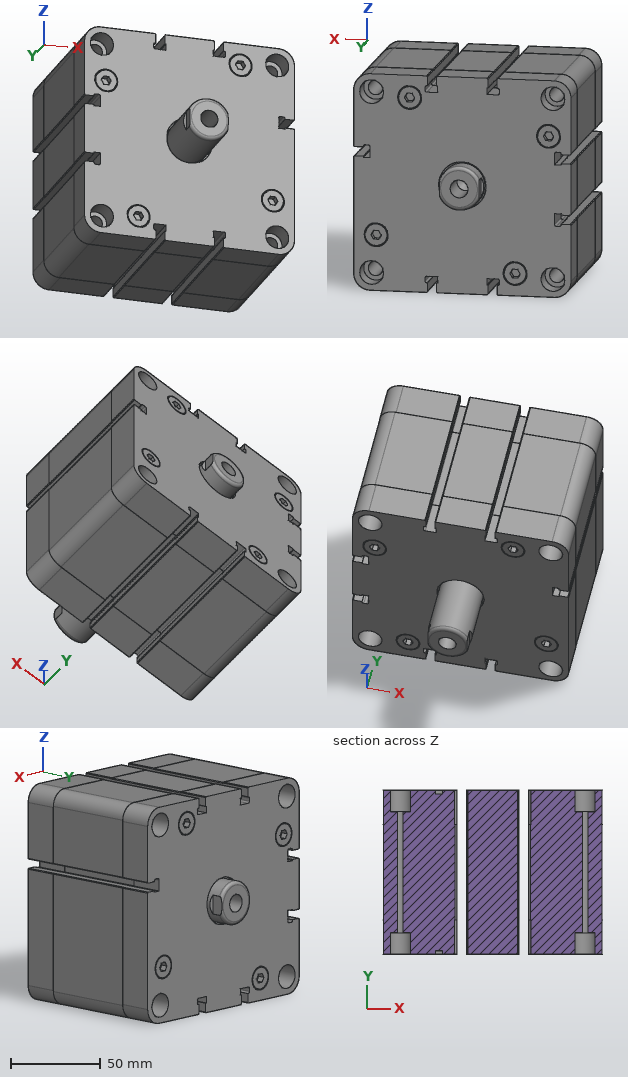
import cadquery as cq
import math

BODY_LENGTH = 92.0
CAP_LENGTH = 19.3
CAP_WIDTH = 124.0
CAP_CORNER_RADIUS = 9.5
TUBE_WIDTH = 123.6
TUBE_CORNER_RADIUS = 8.7

SLOT_OFFSET = 17.3
SLOT_NECK_WIDTH = 5.2
SLOT_NECK_DEPTH = 5.6
SLOT_DEPTH = 9.3
SLOT_OUTER_UNDERCUT = 1.3
SLOT_INNER_UNDERCUT = 0.7
SLOT_CORNER_RADIUS = 1.0
SLOT_MOUTH_CHAMFER = 0.5

MOUNT_SPACING = 103.5
MOUNT_HOLE_DIAMETER = 8.38
MOUNT_BORE_DIAMETER = 13.5
MOUNT_BORE_DEPTH = 12.0

SCREW_X = 49.2
SCREW_Z = 30.1
SCREW_BORE_DIAMETER = 13.5
SCREW_HEAD_DIAMETER = 12.5
SCREW_GAP_DEPTH = 2.0
SOCKET_ACROSS_FLATS = 5.0
SOCKET_DEPTH = 4.0

ROD_DIAMETER = 25.0
ROD_FRONT_LENGTH = 35.0
ROD_REAR_LENGTH = 9.5
ROD_END_RADIUS = 2.0
ROD_ACROSS_FLATS = 22.5
FLAT_LENGTH = 7.0
ROD_BORE_DIAMETER = 10.11
ROD_BORE_DEPTH = 20.0
DRILL_POINT_ANGLE = 118.0
ROD_RECESS_DIAMETER = 27.0
ROD_RECESS_DEPTH = 2.0

HALF_LENGTH = BODY_LENGTH / 2
TUBE_LENGTH = BODY_LENGTH - 2 * CAP_LENGTH
HALF_MOUNT = MOUNT_SPACING / 2
MOUNT_PLACES = [(x, z) for x in (-HALF_MOUNT, HALF_MOUNT) for z in (-HALF_MOUNT, HALF_MOUNT)]
SCREW_PLACES = [(SCREW_X, -SCREW_Z), (SCREW_Z, SCREW_X), (-SCREW_X, SCREW_Z), (-SCREW_Z, -SCREW_X)]


def cylinder(diameter, start_y, length, x=0.0, z=0.0):
    """Cylinder along +Y from start_y."""
    axis_start = cq.Vector(x, start_y, z)
    return cq.Workplane(obj=cq.Solid.makeCylinder(diameter / 2, length, axis_start, cq.Vector(0, 1, 0)))


def square_prism(width, corner_radius, start_y, length):
    """Rounded square prism along +Y from start_y."""
    prism = cq.Workplane("XY").box(width, length, width).edges("|Y").fillet(corner_radius)
    return prism.translate((0, start_y + length / 2, 0))


def top_slot(half_width):
    """Full-length slot in the top face of a body of this half width, on the +X side of the centreline."""
    inner = SLOT_OFFSET - SLOT_NECK_WIDTH / 2
    outer = SLOT_OFFSET + SLOT_NECK_WIDTH / 2
    head_inner = inner - SLOT_INNER_UNDERCUT
    head_outer = outer + SLOT_OUTER_UNDERCUT
    neck_bottom = half_width - SLOT_NECK_DEPTH
    bottom = half_width - SLOT_DEPTH
    chamfer_bottom = half_width - SLOT_MOUTH_CHAMFER
    radius = SLOT_CORNER_RADIUS
    mid_arc = radius * (1 - math.sqrt(0.5))
    return (
        cq.Workplane("XZ", origin=(0, HALF_LENGTH, 0))
        .moveTo(inner - SLOT_MOUTH_CHAMFER, half_width)
        .lineTo(inner, chamfer_bottom)
        .lineTo(inner, neck_bottom)
        .lineTo(head_inner, neck_bottom)
        .lineTo(head_inner, bottom)
        .lineTo(head_outer - radius, bottom)
        .threePointArc((head_outer - mid_arc, bottom + mid_arc), (head_outer, bottom + radius))
        .lineTo(head_outer, neck_bottom - radius)
        .threePointArc((head_outer - mid_arc, neck_bottom - mid_arc), (head_outer - radius, neck_bottom))
        .lineTo(outer, neck_bottom)
        .lineTo(outer, chamfer_bottom)
        .lineTo(outer + SLOT_MOUTH_CHAMFER, half_width)
        .close()
        .extrude(BODY_LENGTH)
    )


def all_slots(half_width):
    """Two slots in the top, bottom and -X faces, and only the upper one in the +X face."""
    upper_right = top_slot(half_width)
    upper_left = upper_right.mirror("YZ")
    right_side = upper_left.rotate((0, 0, 0), (0, 1, 0), 90)
    left_side = right_side.mirror("YZ")
    slots = [upper_right, upper_left, right_side, left_side]
    slots += [slot.mirror("XY") for slot in (upper_right, upper_left, left_side)]
    return slots


def screw_cutter(x, z):
    """Gap around a screw head together with its hexagon socket, sunk from the front face."""
    ring = cylinder(SCREW_BORE_DIAMETER, -HALF_LENGTH, SCREW_GAP_DEPTH, x, z).cut(
        cylinder(SCREW_HEAD_DIAMETER, -HALF_LENGTH, SCREW_GAP_DEPTH, x, z)
    )
    socket_diameter = SOCKET_ACROSS_FLATS / math.cos(math.pi / 6)
    socket = (
        cq.Workplane("XZ", origin=(x, -HALF_LENGTH, z))
        .polygon(6, socket_diameter)
        .extrude(-SOCKET_DEPTH)
    )
    return ring.union(socket)


def slotted_prism(width, corner_radius, start_y, length):
    """Rounded square prism along +Y with the sensor slots cut from its own outer faces."""
    prism = square_prism(width, corner_radius, start_y, length)
    for slot in all_slots(width / 2):
        prism = prism.cut(slot)
    return prism


def front_cap():
    """Front cap with its mounting counterbores, screws and the recess around the rod."""
    cap = slotted_prism(CAP_WIDTH, CAP_CORNER_RADIUS, -HALF_LENGTH, CAP_LENGTH)
    for x, z in MOUNT_PLACES:
        cap = cap.cut(cylinder(MOUNT_BORE_DIAMETER, -HALF_LENGTH, MOUNT_BORE_DEPTH, x, z))
    for x, z in SCREW_PLACES:
        cap = cap.cut(screw_cutter(x, z))
    return cap.cut(cylinder(ROD_RECESS_DIAMETER, -HALF_LENGTH, ROD_RECESS_DEPTH))


def body():
    """Tube and two like caps, with the rod and mounting holes running through all three."""
    cap = front_cap()
    tube = slotted_prism(TUBE_WIDTH, TUBE_CORNER_RADIUS, -TUBE_LENGTH / 2, TUBE_LENGTH)
    block = tube.union(cap).union(cap.mirror("XZ"))
    for x, z in MOUNT_PLACES:
        block = block.cut(cylinder(MOUNT_HOLE_DIAMETER, -HALF_LENGTH, BODY_LENGTH, x, z))
    return block.cut(cylinder(ROD_DIAMETER, -HALF_LENGTH, BODY_LENGTH))


def half_rod(projection):
    """Half of the rod, from the body centre to its end, which stands out in front of the cap."""
    end_y = -HALF_LENGTH - projection
    rod = cylinder(ROD_DIAMETER, end_y, -end_y).faces("<Y").edges().fillet(ROD_END_RADIUS)

    flat_x = ROD_ACROSS_FLATS / 2
    outer_x = ROD_DIAMETER / 2
    run_out = outer_x - flat_x
    flat_cutter = (
        cq.Workplane("XY", origin=(0, 0, -outer_x))
        .moveTo(flat_x, end_y)
        .lineTo(flat_x, end_y + FLAT_LENGTH)
        .lineTo(outer_x, end_y + FLAT_LENGTH + run_out)
        .lineTo(outer_x, end_y)
        .close()
        .extrude(ROD_DIAMETER)
    )
    rod = rod.cut(flat_cutter).cut(flat_cutter.mirror("YZ"))

    bore_radius = ROD_BORE_DIAMETER / 2
    bottom_y = end_y + ROD_BORE_DEPTH
    point_length = bore_radius / math.tan(math.radians(DRILL_POINT_ANGLE / 2))
    bore = (
        cq.Workplane("XY")
        .moveTo(0, end_y)
        .lineTo(bore_radius, end_y)
        .lineTo(bore_radius, bottom_y)
        .lineTo(0, bottom_y + point_length)
        .close()
        .revolve(360, (0, 0, 0), (0, 1, 0))
    )
    return rod.cut(bore)


front_rod = half_rod(ROD_FRONT_LENGTH)
rear_rod = half_rod(ROD_REAR_LENGTH).mirror("XZ")
result = body().union(front_rod).union(rear_rod)